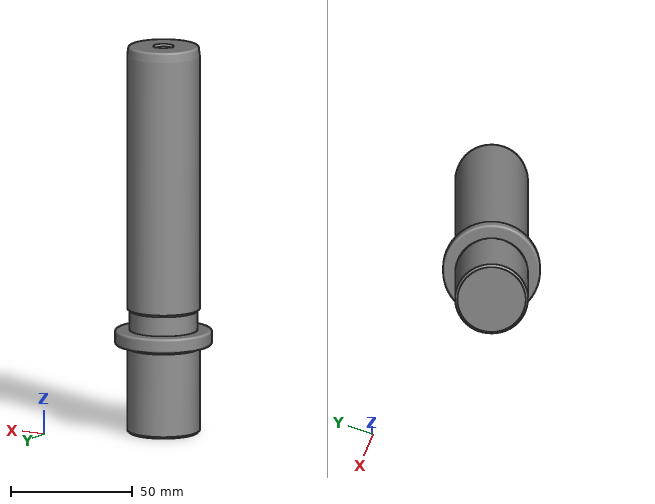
import cadquery as cq


total_length = 162.0
shank_length = 37.0
collar_thickness = 6.0
neck_length = 9.0
lead_in_length = 4.0

body_radius = 15.0
collar_radius = 20.0
neck_radius = 14.0
undercut_radius = 14.5
lead_in_radius = 14.5

edge_chamfer = 1.0
collar_rounding = 1.0
undercut_land = 1.0
lead_in_rounding = 1.0

hole_diameter = 6.8
hole_depth = 20.0
countersink_chamfer = 0.9

collar_bottom = shank_length
collar_top = collar_bottom + collar_thickness
guide_bottom = collar_top + neck_length
lead_in_start = total_length - lead_in_length
undercut_bottom = collar_bottom - undercut_land
shank_top = undercut_bottom - (body_radius - undercut_radius)


def turned_body():
    """Revolve the half profile of the pillar about the Z axis."""
    profile = (
        cq.Workplane("XZ")
        .moveTo(0, 0)
        .lineTo(body_radius - edge_chamfer, 0)
        .lineTo(body_radius, edge_chamfer)
        .lineTo(body_radius, shank_top)
        .lineTo(undercut_radius, undercut_bottom)
        .lineTo(undercut_radius, collar_bottom)
        .lineTo(collar_radius - collar_rounding, collar_bottom)
        .radiusArc((collar_radius, collar_bottom + collar_rounding), -collar_rounding)
        .lineTo(collar_radius, collar_top - collar_rounding)
        .radiusArc((collar_radius - collar_rounding, collar_top), -collar_rounding)
        .lineTo(neck_radius, collar_top)
        .lineTo(neck_radius, guide_bottom - edge_chamfer)
        .lineTo(body_radius, guide_bottom)
        .lineTo(body_radius, lead_in_start)
        .lineTo(lead_in_radius, total_length)
        .lineTo(0, total_length)
        .close()
    )
    body = profile.revolve(360, (0, 0, 0), (0, 1, 0))
    return body.faces(">Z").edges().fillet(lead_in_rounding)


def add_top_hole(body):
    """Sink a flat-bottomed blind hole with a countersunk mouth into the top face."""
    mouth_diameter = hole_diameter + 2 * countersink_chamfer
    hole = (
        cq.Workplane("XY", origin=(0, 0, total_length - hole_depth))
        .circle(hole_diameter / 2)
        .extrude(hole_depth)
    )
    countersink = cq.Workplane(
        cq.Solid.makeCone(
            hole_diameter / 2,
            mouth_diameter / 2,
            countersink_chamfer,
            pnt=cq.Vector(0, 0, total_length - countersink_chamfer),
        )
    )
    return body.cut(hole).cut(countersink)


result = add_top_hole(turned_body())